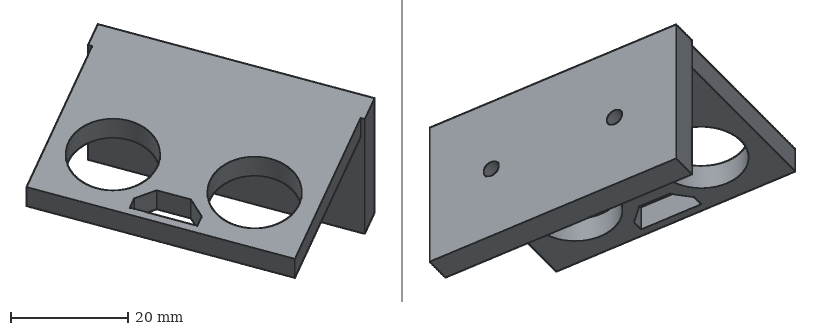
import cadquery as cq

back_width = 50.0
back_height = 30.0
thickness = 5.0
screw_diameter = 3.1
screw_pitch = 25.0

shelf_width = 48.5
shelf_reach = 33.6
eye_diameter = 16.1
eye_pitch = 25.6
eye_front_distance = 11.8

window_width = 12.2
window_depth = 5.2
window_bevel = 3.0
window_front_distance = 1.5

shelf_front = -shelf_reach
shelf_bottom = back_height - thickness


def make_back_plate():
    plate = cq.Workplane("XY").box(back_width, thickness, back_height, centered=(True, False, False))
    screw_holes = (
        cq.Workplane("XZ")
        .pushPoints([(side * screw_pitch / 2, back_height / 2) for side in (-1, 1)])
        .circle(screw_diameter / 2)
        .extrude(-thickness)
    )
    return plate.cut(screw_holes)


def make_shelf():
    return (
        cq.Workplane("XY", origin=(0, shelf_front, shelf_bottom))
        .box(shelf_width, shelf_reach, thickness, centered=(True, False, False))
    )


def make_eye_openings():
    return (
        cq.Workplane("XY", origin=(0, shelf_front + eye_front_distance, shelf_bottom))
        .pushPoints([(side * eye_pitch / 2, 0) for side in (-1, 1)])
        .circle(eye_diameter / 2)
        .extrude(thickness)
    )


def make_window():
    half_width = window_width / 2
    bevel_start = window_depth - window_bevel
    return (
        cq.Workplane("XY", origin=(0, shelf_front + window_front_distance, shelf_bottom))
        .moveTo(-half_width, 0)
        .lineTo(half_width, 0)
        .lineTo(half_width, bevel_start)
        .lineTo(half_width - window_bevel, window_depth)
        .lineTo(-half_width + window_bevel, window_depth)
        .lineTo(-half_width, bevel_start)
        .close()
        .extrude(thickness)
    )


shelf = make_shelf().cut(make_eye_openings()).cut(make_window())
result = make_back_plate().union(shelf)